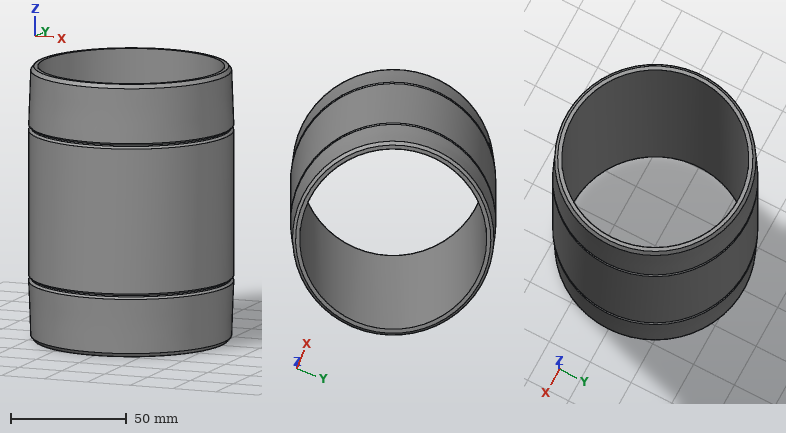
import cadquery as cq

length = 120.0
outer_diameter = 88.9
bore_radius = 40.5
outer_radius = outer_diameter / 2

band_length = 25.7
band_end_radius = 43.5
end_chamfer_length = 1.7
end_chamfer_depth = 1.3

groove_width = 2.4
groove_floor_width = 0.6
groove_depth = 1.2

half_length = length / 2
groove_outer_z = half_length - band_length
groove_inner_z = groove_outer_z - groove_width
groove_wall_run = (groove_width - groove_floor_width) / 2
groove_floor_radius = outer_radius - groove_depth

upper_outline = [
    (outer_radius, groove_inner_z),
    (groove_floor_radius, groove_inner_z + groove_wall_run),
    (groove_floor_radius, groove_outer_z - groove_wall_run),
    (outer_radius, groove_outer_z),
    (band_end_radius, half_length - end_chamfer_length),
    (band_end_radius - end_chamfer_depth, half_length),
]

lower_outline = [(radius, -z) for radius, z in reversed(upper_outline)]
bore_edge = [(bore_radius, half_length), (bore_radius, -half_length)]

wall_section = cq.Workplane("XZ").polyline(lower_outline + upper_outline + bore_edge).close()
result = wall_section.revolve(360, (0, 0, 0), (0, 1, 0))